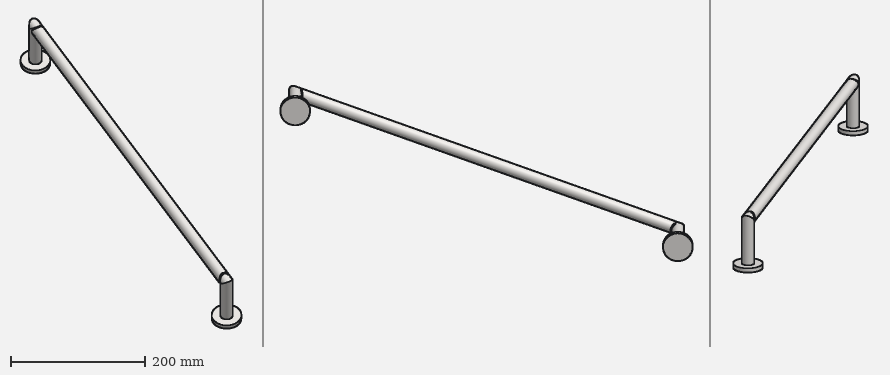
import cadquery as cq

post_spacing = 609.6
flange_diameter = 44.45
flange_thickness = 7.0
post_diameter = 19.05
bar_diameter = 19.05
neck_diameter = 15.0
joint_gap = 1.6
overall_height = 85.6

post_radius = post_diameter / 2
axis_height = overall_height - post_radius
cope_diameter = post_diameter + 2 * joint_gap
post_positions = (-post_spacing / 2, post_spacing / 2)


def rod_along_x(diameter, start_x, end_x):
    """Horizontal cylinder on the bar axis."""
    plane = cq.Workplane("YZ", origin=(start_x, 0, axis_height))
    return plane.circle(diameter / 2).extrude(end_x - start_x)


def upright(center_x, diameter, height):
    """Vertical cylinder standing on the mounting plane."""
    return cq.Workplane("XY", origin=(center_x, 0, 0)).circle(diameter / 2).extrude(height)


def make_post(center_x):
    """Round flange and upright post whose top is rounded about the bar axis."""
    flange = upright(center_x, flange_diameter, flange_thickness)
    shaft = upright(center_x, post_diameter, axis_height)
    crown_envelope = rod_along_x(post_diameter, center_x - post_diameter, center_x + post_diameter)
    crown = upright(center_x, post_diameter, overall_height).intersect(crown_envelope)
    return flange.union(shaft).union(crown)


def make_bar():
    """Bar with ends coped around the posts, leaving a narrow gap at each joint."""
    bar = rod_along_x(bar_diameter, *post_positions)
    for center_x in post_positions:
        bar = bar.cut(upright(center_x, cope_diameter, overall_height))
    return bar


result = make_bar().union(rod_along_x(neck_diameter, *post_positions))
for center_x in post_positions:
    result = result.union(make_post(center_x))